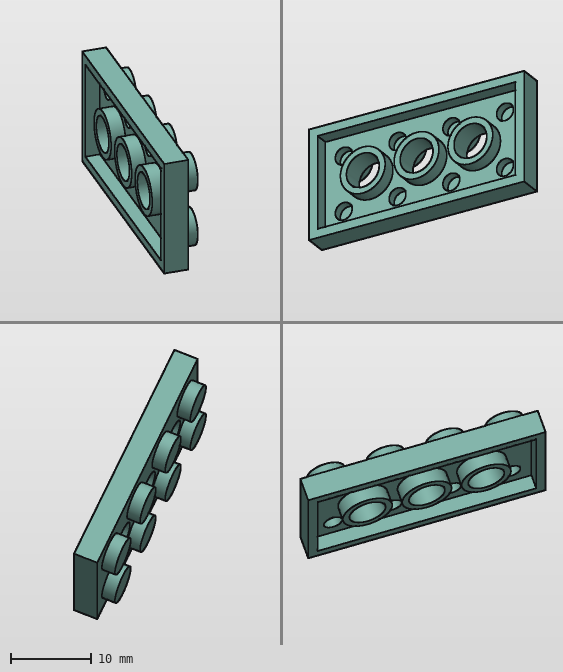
import cadquery as cq

length = 31.2
height = 15.6
plate_depth = 3.18
wall = 1.25
cavity_depth = 1.95

columns = 4
rows = 2
pitch = length / columns
stud_diameter = 4.93
stud_height = 1.78
blind_hole_diameter = 2.43
blind_hole_depth = 1.25

tube_outer_diameter = 6.5
tube_bore_diameter = 4.75

total_depth = plate_depth + stud_height
front_y = -total_depth / 2
floor_y = front_y + cavity_depth
back_y = front_y + plate_depth


def section_at(y):
    """Workplane at the given Y, with local axes X and Z and its normal along +Y."""
    plane = cq.Plane(origin=(0, y, 0), xDir=(1, 0, 0), normal=(0, 1, 0))
    return cq.Workplane(plane)


def stud_cylinders(y, diameter, depth):
    """One cylinder at every stud position, running from y toward +Y."""
    grid = section_at(y).rarray(pitch, pitch, columns, rows)
    return grid.circle(diameter / 2).extrude(depth)


def tube_cylinders(diameter, depth):
    """One cylinder at every tube position, running from the open face toward +Y."""
    row = section_at(front_y).rarray(pitch, pitch, columns - 1, rows - 1)
    return row.circle(diameter / 2).extrude(depth)


plate = section_at(front_y).rect(length, height).extrude(plate_depth)
cavity = section_at(front_y).rect(length - 2 * wall, height - 2 * wall).extrude(cavity_depth)
result = plate.cut(cavity)

result = result.union(stud_cylinders(back_y, stud_diameter, stud_height))
result = result.cut(stud_cylinders(floor_y, blind_hole_diameter, blind_hole_depth))

result = result.union(tube_cylinders(tube_outer_diameter, plate_depth))
result = result.cut(tube_cylinders(tube_bore_diameter, plate_depth))